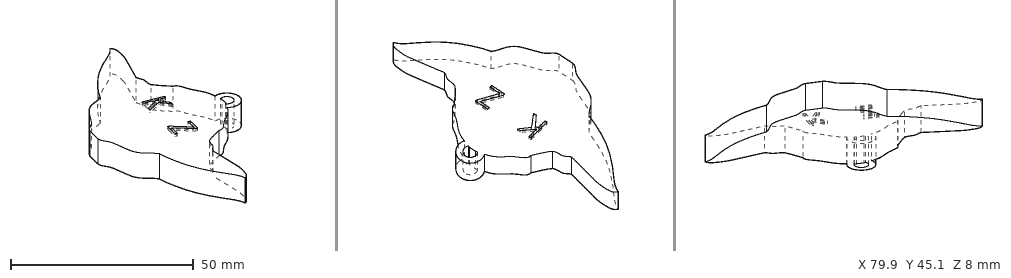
import cadquery as cq


width = 79.85
length = 45.05
thickness = 8.0

loop_diameter = 8.0
loop_hole_diameter = 4.0
loop_center_y = length - loop_diameter / 2

ear_tip = (width / 2, 25.8)
chin_half_width = 2.4
crown_y = 40.1
crown_half_width = 1.1

letter_depth = 0.8
letter_bottom = 20.0
letter_height = 6.95
letter_top = letter_bottom + letter_height
letter_stroke = 0.7
letter_outer_x = 9.8

chin_start = (chin_half_width, 0)
neck = (17.4, 11.1)
ear_notch = (22.6, 24.8)
ear_root = (17.25, 26.7)
temple = (13.65, 31.55)
crown_end = (crown_half_width, crown_y)

outline_curves = [
    [chin_start, (3.35, 0.3), (4.3, 1.0), (5.0, 1.75), (7.2, 2.95), (10.4, 4.15),
     (13.2, 5.4), (14.85, 7.1), (16.6, 10.15), neck],
    [neck, (19.7, 11.8), (23.1, 13.25), (27.15, 15.4), (31.3, 18.45), (35.1, 22.05), (38.0, 24.75), ear_tip],
    [ear_tip, (39.0, 26.75), (37.05, 27.15), (34.2, 27.15), (30.35, 26.4), (25.5, 25.5), ear_notch],
    [ear_notch, (21.65, 25.3), (20.7, 25.95), (18.8, 26.2), ear_root],
    [ear_root, (15.9, 28.3), (14.7, 30.0), temple],
    [temple, (13.25, 32.75), (12.0, 33.8), (10.15, 34.9), (7.2, 37.45), (5.75, 38.4), (3.8, 39.2), crown_end],
]


def mirrored(curve):
    """The curve reflected in X = 0 and run the other way."""
    return [(-x, y) for x, y in reversed(curve)]


def extruded_letter(points):
    """A letter outline as an inlay that ends flush with the top face."""
    floor = cq.Workplane("XY").workplane(offset=thickness - letter_depth)
    return floor.polyline(points).close().extrude(letter_depth)


def make_letter_k():
    left = -letter_outer_x
    stem_right = left + letter_stroke
    limb_inner_x = -6.0
    limb_outer_x = -5.0
    return extruded_letter([
        (left, letter_bottom),
        (stem_right, letter_bottom),
        (stem_right, 22.85),
        (-8.4, 23.3),
        (limb_inner_x, letter_bottom),
        (limb_outer_x, letter_bottom),
        (-7.7, 24.0),
        (limb_outer_x, letter_top),
        (limb_inner_x, letter_top),
        (stem_right, 23.6),
        (stem_right, letter_top),
        (left, letter_top),
    ])


def make_letter_z():
    right = letter_outer_x
    lower_left = 5.3
    upper_left = 5.5
    diagonal_lower_x = 6.4
    diagonal_upper_x = 8.8
    diagonal_inset = 0.55
    lower_bar_top = letter_bottom + letter_stroke
    upper_bar_bottom = letter_top - letter_stroke
    return extruded_letter([
        (lower_left, letter_bottom),
        (right, letter_bottom),
        (right, lower_bar_top),
        (diagonal_lower_x, lower_bar_top),
        (right, letter_top - diagonal_inset),
        (right, letter_top),
        (upper_left, letter_top),
        (upper_left, upper_bar_bottom),
        (diagonal_upper_x, upper_bar_bottom),
        (lower_left, letter_bottom + diagonal_inset),
    ])


def make_head():
    outline = cq.Workplane("XY").moveTo(-chin_half_width, 0).lineTo(*chin_start)
    for curve in outline_curves:
        outline = outline.spline(curve[1:], includeCurrent=True)
    outline = outline.lineTo(-crown_half_width, crown_y)
    for curve in reversed(outline_curves):
        outline = outline.spline(mirrored(curve)[1:], includeCurrent=True)
    return outline.close().extrude(thickness)


def make_loop():
    return (
        cq.Workplane("XY")
        .center(0, loop_center_y)
        .circle(loop_diameter / 2)
        .circle(loop_hole_diameter / 2)
        .extrude(thickness)
    )


letter_k = make_letter_k()
letter_z = make_letter_z()

charm = make_head().union(make_loop()).cut(letter_k).cut(letter_z)

result = cq.Compound.makeCompound([charm.val(), letter_k.val(), letter_z.val()])